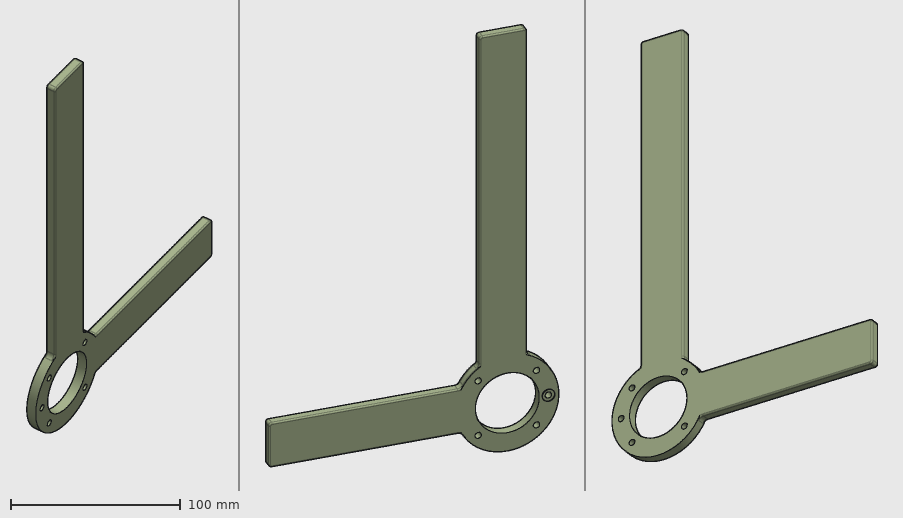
import cadquery as cq
import math

thickness = 6.5
overall_width = 182.5
overall_height = 282.5
ring_radius = 32.5
bore_diameter = 40.0
arm_width = 30.0
upright_offset = 2.5
tip_corner_radius = 2.0
junction_radius = 4.0
edge_radius = 1.0

hole_diameter = 4.0
hole_circle_radius = 26.0
counterbore_diameter = 8.0
counterbore_depth = 0.5

upright_length = overall_height - ring_radius
side_length = overall_width - ring_radius


def disc(diameter, depth, y=0.0, z=0.0):
    """Cylinder along X, starting at the -X face of the plate."""
    return cq.Workplane("YZ").center(y, z).circle(diameter / 2).extrude(depth)


def arm(y_min, z_min, y_size, z_size, tip_selector):
    """Rectangular arm with the two corners at its tip rounded."""
    blank = cq.Workplane("XY").box(thickness, y_size, z_size, centered=False)
    rounded = blank.faces(tip_selector).edges("|X").fillet(tip_corner_radius)
    return rounded.translate((0, y_min, z_min))


ring = disc(2 * ring_radius, thickness)
upright = arm(upright_offset - arm_width / 2, 0, arm_width, upright_length, ">Z")
side_arm = arm(0, -arm_width / 2, side_length, arm_width, ">Y")
body = ring.union(upright).union(side_arm)


def junction(along, across):
    """Mid-thickness point where an arm's side line crosses the ring's rim."""
    reach = math.sqrt(ring_radius**2 - across**2)
    if along == "Y":
        return (thickness / 2, reach, across)
    return (thickness / 2, across, reach)


junction_points = [
    junction("Z", upright_offset - arm_width / 2),
    junction("Z", upright_offset + arm_width / 2),
    junction("Y", -arm_width / 2),
    junction("Y", arm_width / 2),
]
for point in junction_points:
    corner = cq.selectors.NearestToPointSelector(point)
    body = body.edges(corner).fillet(junction_radius)

body = body.faces("<X or >X").edges().fillet(edge_radius)
body = body.union(ring)

body = body.cut(disc(bore_diameter, thickness))
for angle in (45, 135, 225, 315):
    hole_y = hole_circle_radius * math.cos(math.radians(angle))
    hole_z = hole_circle_radius * math.sin(math.radians(angle))
    body = body.cut(disc(hole_diameter, thickness, hole_y, hole_z))

body = body.cut(disc(hole_diameter, thickness, -hole_circle_radius))
body = body.cut(disc(counterbore_diameter, counterbore_depth, -hole_circle_radius))

result = body